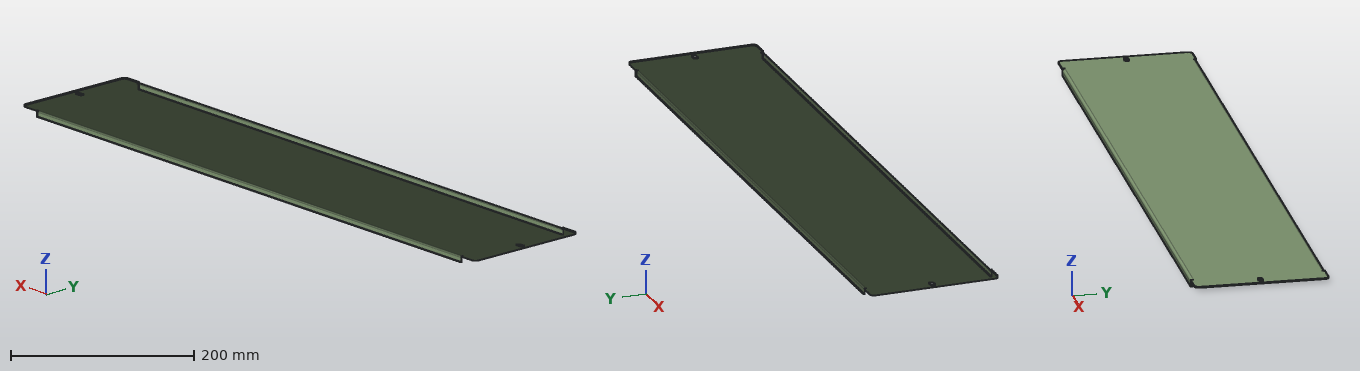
import cadquery as cq

length = 745.0
width = 150.0
height = 8.0
thickness = 1.5

corner_radius = 5.0
slot_length = 10.5
slot_width = 5.0
slot_edge_distance = 10.0

flange_setback = 24.0
flange_length = length - 2 * flange_setback
bend_outer_radius = 3.0
bend_inner_radius = bend_outer_radius - thickness


def make_plate():
    """Flat top sheet with rounded corners."""
    return (
        cq.Workplane("XY")
        .box(length, width, thickness, centered=(True, True, False))
        .edges("|Z")
        .fillet(corner_radius)
        .translate((0, 0, height - thickness))
    )


def make_channel():
    """Sheet folded down along both long sides, with its top flush with the plate."""
    outer = (
        cq.Workplane("XY")
        .box(flange_length, width, height, centered=(True, True, False))
        .edges("|X and >Z")
        .fillet(bend_outer_radius)
    )
    inner = (
        cq.Workplane("XY")
        .box(flange_length, width - 2 * thickness, height - thickness, centered=(True, True, False))
        .edges("|X and >Z")
        .fillet(bend_inner_radius)
    )
    return outer.cut(inner)


def make_end_tabs():
    """Parts of the plate that project beyond the folded stretch."""
    folded_stretch = cq.Workplane("XY").box(flange_length, width, 2 * height)
    return make_plate().cut(folded_stretch)


def make_slots():
    """Mounting slot near each end, long along X."""
    slot_x = length / 2 - slot_edge_distance
    return (
        cq.Workplane("XY")
        .pushPoints([(-slot_x, 0), (slot_x, 0)])
        .slot2D(slot_length, slot_width)
        .extrude(height)
    )


result = make_channel().union(make_end_tabs()).cut(make_slots())